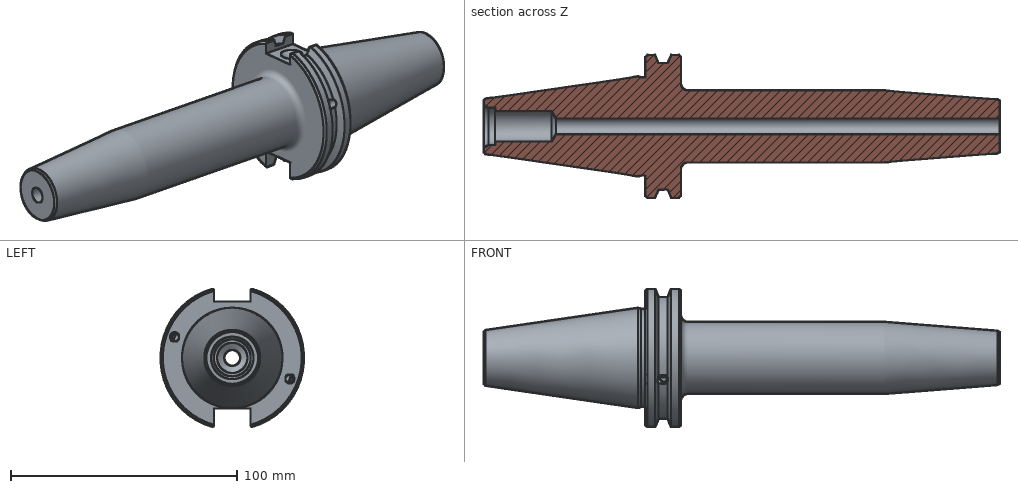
import cadquery as cq
import math


GAUGE_DIAMETER = 44.45
TAPER_LENGTH = 68.25
TAPER_RATIO = 7 / 24
TAPER_END_CHAMFER = 0.8
NECK_DIAMETER = 43.6
NECK_START = 1.3

FLANGE_DIAMETER = 63.5
FLANGE_START = 3.175
FLANGE_END = 19.05
FLANGE_CHAMFER = 1.0
GROOVE_CENTER = 11.1
GROOVE_TOP_WIDTH = 7.0
GROOVE_FLOOR_WIDTH = 4.0
GROOVE_FLOOR_DIAMETER = 56.25

SHANK_DIAMETER = 32.0
SHANK_FILLET = 3.0
NOSE_DIAMETER = 24.0
NOSE_END = 160.0
NOSE_HALF_ANGLE = 4.5
NOSE_END_CHAMFER_LENGTH = 1.1
NOSE_END_CHAMFER_DEPTH = 0.6

BORE_MOUTH_DIAMETER = 18.8
BORE_MOUTH_DEPTH = 2.2
COUNTERBORE_DIAMETER = 16.3
COUNTERBORE_DEPTH = 5.0
THREAD_DIAMETER = 13.39
THREAD_DEPTH = 30.0
DRILL_POINT_ANGLE = 118.0
THROUGH_DIAMETER = 6.92

SLOT_WIDTH = 16.1
UPPER_SLOT_FLOOR = 25.0
LOWER_SLOT_FLOOR = 22.4
SLOT_EDGE_CHAMFER = 0.6
DIMPLE_DIAMETER = 9.53

COOLANT_RADIUS = 27.1
COOLANT_ANGLE = 20.0
FACE_HOLE_DIAMETER = 4.0
PLUG_HOLE_DIAMETER = 4.2
PLUG_HOLE_DEPTH = 1.0
PLUG_CORE_DIAMETER = 3.24
PLUG_CORE_DEPTH = 7.0


def point_length(diameter):
    """Length of a drill point of the given diameter."""
    return diameter / 2 / math.tan(math.radians(DRILL_POINT_ANGLE / 2))


def make_body():
    """Revolve the outside: taper, neck, grooved flange, shank and nose."""
    taper_end = -TAPER_LENGTH
    taper_end_radius = (GAUGE_DIAMETER - TAPER_LENGTH * TAPER_RATIO) / 2
    flange_radius = FLANGE_DIAMETER / 2
    floor_radius = GROOVE_FLOOR_DIAMETER / 2
    shank_radius = SHANK_DIAMETER / 2
    nose_radius = NOSE_DIAMETER / 2
    nose_slope = math.tan(math.radians(NOSE_HALF_ANGLE))
    nose_start = NOSE_END - (shank_radius - nose_radius) / nose_slope
    chamfer_start = NOSE_END - NOSE_END_CHAMFER_LENGTH
    chamfer_start_radius = nose_radius + NOSE_END_CHAMFER_LENGTH * nose_slope
    fillet_middle = SHANK_FILLET * (1 - math.sqrt(0.5))

    profile = (
        cq.Workplane("XZ")
        .moveTo(taper_end, 0)
        .lineTo(taper_end, taper_end_radius - TAPER_END_CHAMFER)
        .lineTo(taper_end + TAPER_END_CHAMFER, taper_end_radius + TAPER_END_CHAMFER * TAPER_RATIO / 2)
        .lineTo(0, GAUGE_DIAMETER / 2)
        .lineTo(NECK_START, NECK_DIAMETER / 2)
        .lineTo(FLANGE_START, NECK_DIAMETER / 2)
        .lineTo(FLANGE_START, flange_radius - FLANGE_CHAMFER)
        .lineTo(FLANGE_START + FLANGE_CHAMFER, flange_radius)
        .lineTo(GROOVE_CENTER - GROOVE_TOP_WIDTH / 2, flange_radius)
        .lineTo(GROOVE_CENTER - GROOVE_FLOOR_WIDTH / 2, floor_radius)
        .lineTo(GROOVE_CENTER + GROOVE_FLOOR_WIDTH / 2, floor_radius)
        .lineTo(GROOVE_CENTER + GROOVE_TOP_WIDTH / 2, flange_radius)
        .lineTo(FLANGE_END - FLANGE_CHAMFER, flange_radius)
        .lineTo(FLANGE_END, flange_radius - FLANGE_CHAMFER)
        .lineTo(FLANGE_END, shank_radius + SHANK_FILLET)
        .threePointArc(
            (FLANGE_END + fillet_middle, shank_radius + fillet_middle),
            (FLANGE_END + SHANK_FILLET, shank_radius),
        )
        .lineTo(nose_start, shank_radius)
        .lineTo(chamfer_start, chamfer_start_radius)
        .lineTo(NOSE_END, nose_radius - NOSE_END_CHAMFER_DEPTH)
        .lineTo(NOSE_END, 0)
        .close()
    )
    return profile.revolve(360, (0, 0, 0), (1, 0, 0))


def make_bore():
    """Revolve the stepped bore that runs through the whole holder."""
    mouth = -TAPER_LENGTH
    thread_end = mouth + THREAD_DEPTH
    cone_end = thread_end + point_length(THREAD_DIAMETER) - point_length(THROUGH_DIAMETER)
    profile = (
        cq.Workplane("XY")
        .moveTo(mouth, 0)
        .lineTo(mouth, BORE_MOUTH_DIAMETER / 2)
        .lineTo(mouth + BORE_MOUTH_DEPTH, COUNTERBORE_DIAMETER / 2)
        .lineTo(mouth + COUNTERBORE_DEPTH, COUNTERBORE_DIAMETER / 2)
        .lineTo(mouth + COUNTERBORE_DEPTH, THREAD_DIAMETER / 2)
        .lineTo(thread_end, THREAD_DIAMETER / 2)
        .lineTo(cone_end, THROUGH_DIAMETER / 2)
        .lineTo(NOSE_END, THROUGH_DIAMETER / 2)
        .lineTo(NOSE_END, 0)
        .close()
    )
    return profile.revolve(360, (0, 0, 0), (1, 0, 0))


def make_slot(floor, side):
    """Drive slot across the flange with chamfered mouth edges; side is +1 above the axis, -1 below it."""
    flange_radius = FLANGE_DIAMETER / 2
    half_width = SLOT_WIDTH / 2
    mouth_half_width = half_width + SLOT_EDGE_CHAMFER
    mouth_height = math.sqrt(flange_radius**2 - mouth_half_width**2)
    profile = (
        cq.Workplane("YZ")
        .workplane(offset=FLANGE_START)
        .moveTo(-half_width, side * floor)
        .lineTo(half_width, side * floor)
        .lineTo(half_width, side * (mouth_height - SLOT_EDGE_CHAMFER))
        .lineTo(mouth_half_width, side * mouth_height)
        .lineTo(mouth_half_width, side * flange_radius)
        .lineTo(-mouth_half_width, side * flange_radius)
        .lineTo(-mouth_half_width, side * mouth_height)
        .lineTo(-half_width, side * (mouth_height - SLOT_EDGE_CHAMFER))
        .close()
    )
    return profile.extrude(FLANGE_END - FLANGE_START)


def make_dimple():
    """Conical drill point in the floor of the upper slot."""
    cone = cq.Solid.makeCone(
        DIMPLE_DIAMETER / 2,
        0,
        point_length(DIMPLE_DIAMETER),
        cq.Vector(GROOVE_CENTER, 0, UPPER_SLOT_FLOOR),
        cq.Vector(0, 0, -1),
    )
    return cq.Workplane(cone)


def make_coolant_feed(angle):
    """Axial hole in the flange face and the stepped radial hole that it runs into."""
    face_hole_length = GROOVE_CENTER - FLANGE_START
    face_hole = cq.Solid.makeCylinder(
        FACE_HOLE_DIAMETER / 2,
        face_hole_length,
        cq.Vector(FLANGE_START, COOLANT_RADIUS, 0),
        cq.Vector(1, 0, 0),
    )
    rim_radius = (GROOVE_FLOOR_DIAMETER + FLANGE_DIAMETER) / 4
    floor_radius = GROOVE_FLOOR_DIAMETER / 2
    feed = cq.Workplane(face_hole)
    for diameter, depth in (
        (PLUG_HOLE_DIAMETER, PLUG_HOLE_DEPTH),
        (PLUG_CORE_DIAMETER, PLUG_CORE_DEPTH),
    ):
        plug_hole = cq.Solid.makeCylinder(
            diameter / 2,
            rim_radius - floor_radius + depth,
            cq.Vector(GROOVE_CENTER, rim_radius, 0),
            cq.Vector(0, -1, 0),
        )
        feed = feed.union(cq.Workplane(plug_hole))
    return feed.rotate((0, 0, 0), (1, 0, 0), angle)


result = make_body().cut(make_bore())
result = result.cut(make_slot(UPPER_SLOT_FLOOR, 1))
result = result.cut(make_slot(LOWER_SLOT_FLOOR, -1))
result = result.cut(make_dimple())
for half_turn in (0, 180):
    result = result.cut(make_coolant_feed(COOLANT_ANGLE + half_turn))